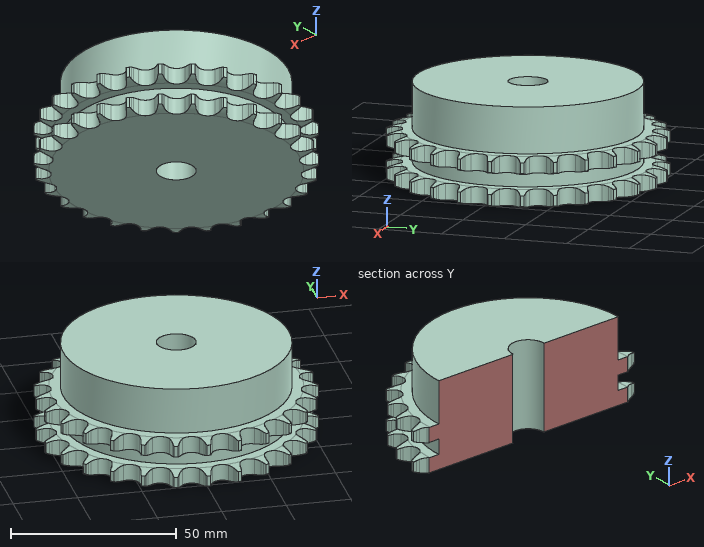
import cadquery as cq
import math


pitch = 9.5
roller_diameter = 6.4
row_spacing = 10.2

tooth_count = 27
tip_diameter = 86.0
plate_thickness = 5.2
shoulder_diameter = 77.0
side_curve_radius = 11.2

hub_diameter = 70.0
bore_diameter = 12.0
total_height = 30.0

tooth_angle = 360 / tooth_count
pitch_radius = pitch / (2 * math.sin(math.pi / tooth_count))
tip_radius = tip_diameter / 2
seat_clearance = 0.08
seat_radius = (1.005 * roller_diameter + seat_clearance) / 2
working_centre_offset = 0.8 * roller_diameter
topping_centre_offset = 1.4 * roller_diameter
working_radius = working_centre_offset + seat_radius
seat_half_angle = math.radians(55 - 60 / tooth_count)
working_sweep = math.radians(18 - 56 / tooth_count)
topping_angle = math.radians(17 - 64 / tooth_count)
straight_length = topping_centre_offset * math.sin(topping_angle) - working_centre_offset * math.sin(working_sweep)
topping_radius = (
    working_centre_offset * math.cos(working_sweep)
    + topping_centre_offset * math.cos(topping_angle)
    - working_radius
)
cutter_overreach = 0.4
cutter_radius = tip_radius + cutter_overreach


def make_blank():
    """Disc whose rim is thinned by a tangent arc on both sides."""
    shoulder_radius = shoulder_diameter / 2

    def side_drop(radius):
        run = radius - shoulder_radius
        return side_curve_radius - math.sqrt(side_curve_radius**2 - run**2)

    middle_radius = (shoulder_radius + tip_radius) / 2
    tip_drop = side_drop(tip_radius)
    middle_drop = side_drop(middle_radius)
    return (
        cq.Workplane("XZ")
        .lineTo(shoulder_radius, 0)
        .threePointArc((middle_radius, middle_drop), (tip_radius, tip_drop))
        .lineTo(tip_radius, plate_thickness - tip_drop)
        .threePointArc((middle_radius, plate_thickness - middle_drop), (shoulder_radius, plate_thickness))
        .lineTo(0, plate_thickness)
        .close()
        .revolve(360, (0, 0), (0, 1))
    )


def make_gap_cutter():
    """Prism filling the tooth gap centred on +Y."""

    def polar(centre, radius, angle):
        """Point at an angle measured from -Y towards +X."""
        return (centre[0] + radius * math.sin(angle), centre[1] - radius * math.cos(angle))

    def mirrored(point):
        return (-point[0], point[1])

    straight_angle = seat_half_angle + working_sweep
    seat_centre = (0, pitch_radius)
    working_centre = polar(seat_centre, -working_centre_offset, seat_half_angle)
    bottom = polar(seat_centre, seat_radius, 0)
    seat_end = polar(seat_centre, seat_radius, seat_half_angle)
    working_middle = polar(working_centre, working_radius, seat_half_angle + working_sweep / 2)
    working_end = polar(working_centre, working_radius, straight_angle)
    straight_end = (
        working_end[0] + straight_length * math.cos(straight_angle),
        working_end[1] + straight_length * math.sin(straight_angle),
    )
    topping_centre = polar(straight_end, topping_radius, straight_angle)

    def topping_point(y):
        rise = y - topping_centre[1]
        return (topping_centre[0] - math.sqrt(topping_radius**2 - rise**2), y)

    topping_middle = topping_point((straight_end[1] + cutter_radius) / 2)
    topping_end = topping_point(cutter_radius)

    return (
        cq.Workplane("XY")
        .moveTo(*mirrored(seat_end))
        .threePointArc(bottom, seat_end)
        .threePointArc(working_middle, working_end)
        .lineTo(*straight_end)
        .threePointArc(topping_middle, topping_end)
        .lineTo(*mirrored(topping_end))
        .threePointArc(mirrored(topping_middle), mirrored(straight_end))
        .lineTo(*mirrored(working_end))
        .threePointArc(mirrored(working_middle), mirrored(seat_end))
        .close()
        .extrude(plate_thickness)
    )


def make_toothed_plate():
    plate = make_blank()
    cutter = make_gap_cutter()
    for index in range(tooth_count):
        plate = plate.cut(cutter.rotate((0, 0, 0), (0, 0, 1), index * tooth_angle))
    return plate


hub = cq.Workplane("XY").circle(hub_diameter / 2).extrude(total_height)
bore = cq.Workplane("XY").circle(bore_diameter / 2).extrude(total_height)

lower_plate = make_toothed_plate()
upper_plate = lower_plate.translate((0, 0, row_spacing))

result = hub.union(lower_plate).union(upper_plate).cut(bore)